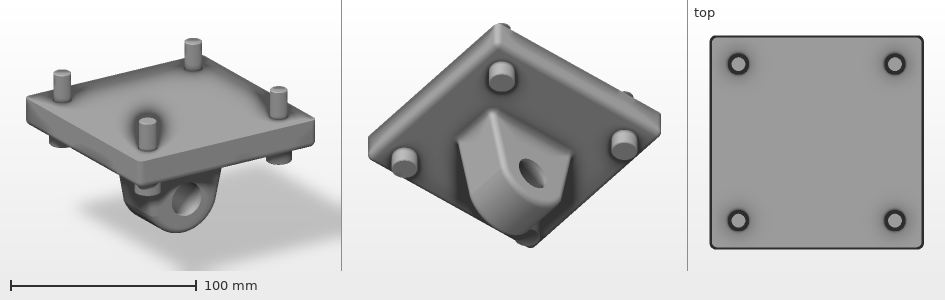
import cadquery as cq

PLATE_SIDE = 114.3
PLATE_THICKNESS = 15.9
EDGE_RADIUS = 3.4
ROOT_RADIUS = 2.7

LUG_WIDTH = 31.8
LUG_ROOT_HALF_SPAN = 28.5
LUG_DROP = 51.5
LUG_ARC_START_DROP = 37.7
LUG_ARC_HALF_SPAN = 20.5
LUG_ARC_CENTRE_Y = -0.8
EYE_DIAMETER = 19.1
EYE_DROP = 31.7

BOLT_SPACING = 84.2
BOLT_SHANK_DIAMETER = 9.6
BOLT_SHANK_LENGTH = 2 * PLATE_THICKNESS
BOLT_HEAD_DIAMETER = 14.1
BOLT_HEAD_HEIGHT = 9.5
BOLT_CHAMFER = 0.5
BOLT_HOLE_DIAMETER = 10.3

BOLT_POSITIONS = [
    (x * BOLT_SPACING / 2, y * BOLT_SPACING / 2)
    for x in (-1, 1)
    for y in (-1, 1)
]


def make_plate():
    """Square plate with rounded upright corners and a rounded lower rim."""
    plate = cq.Workplane("XY").rect(PLATE_SIDE, PLATE_SIDE).extrude(PLATE_THICKNESS)
    return plate.edges("|Z or <Z").fillet(EDGE_RADIUS)


def make_lug():
    """Tapered lug with a round end and rounded side edges; its flat top meets the plate."""
    lug = (
        cq.Workplane("YZ")
        .moveTo(-LUG_ROOT_HALF_SPAN, 0)
        .lineTo(LUG_ARC_CENTRE_Y - LUG_ARC_HALF_SPAN, -LUG_ARC_START_DROP)
        .threePointArc(
            (LUG_ARC_CENTRE_Y, -LUG_DROP),
            (LUG_ARC_CENTRE_Y + LUG_ARC_HALF_SPAN, -LUG_ARC_START_DROP),
        )
        .lineTo(LUG_ROOT_HALF_SPAN, 0)
        .close()
        .extrude(LUG_WIDTH / 2, both=True)
    )
    side_edges = lug.faces("<X or >X").edges("not >Z")
    return side_edges.fillet(EDGE_RADIUS)


def make_bracket():
    """Plate and lug in one piece, with the root fillet, the eye and the bolt holes."""
    bracket = make_plate().union(make_lug())
    root_region = cq.selectors.BoxSelector(
        (-LUG_WIDTH, -LUG_WIDTH, -ROOT_RADIUS),
        (LUG_WIDTH, LUG_WIDTH, ROOT_RADIUS),
    )
    bracket = bracket.edges(root_region).fillet(ROOT_RADIUS)
    eye = (
        cq.Workplane("YZ")
        .center(0, -EYE_DROP)
        .circle(EYE_DIAMETER / 2)
        .extrude(LUG_WIDTH, both=True)
    )
    bolt_holes = (
        cq.Workplane("XY")
        .pushPoints(BOLT_POSITIONS)
        .circle(BOLT_HOLE_DIAMETER / 2)
        .extrude(PLATE_THICKNESS)
    )
    return bracket.cut(eye).cut(bolt_holes)


def make_bolt(x, y):
    """Bolt whose head bears on the plate's underside and whose shank points up."""
    head = (
        cq.Workplane("XY")
        .circle(BOLT_HEAD_DIAMETER / 2)
        .extrude(-BOLT_HEAD_HEIGHT)
        .faces("<Z")
        .chamfer(BOLT_CHAMFER)
    )
    shank = (
        cq.Workplane("XY")
        .circle(BOLT_SHANK_DIAMETER / 2)
        .extrude(BOLT_SHANK_LENGTH)
        .faces(">Z")
        .chamfer(BOLT_CHAMFER)
    )
    return head.union(shank).translate((x, y, 0))


bracket = make_bracket()
bolts = [make_bolt(x, y) for x, y in BOLT_POSITIONS]

result = cq.Compound.makeCompound([bracket.val(), *[bolt.val() for bolt in bolts]])